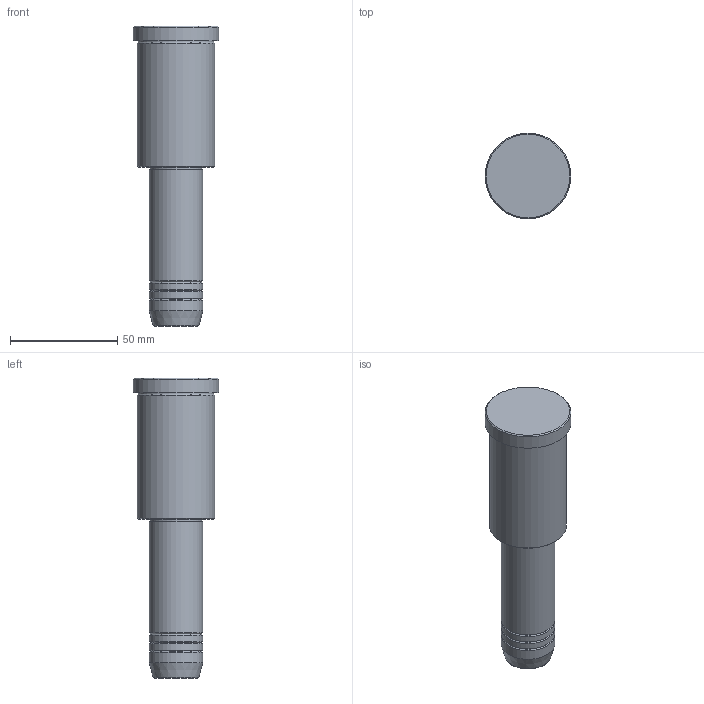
import math

import cadquery as cq

total_length = 140.0
head_height = 7.0
body_length = 59.0
head_bottom = total_length - head_height
body_bottom = head_bottom - body_length

head_diameter = 40.0
body_diameter = 36.0
shaft_diameter = 25.0

head_chamfer = 0.5
body_chamfer = 0.5
tip_fillet = 0.5

relief_width = 1.0
relief_depth = 0.5

tip_height = 7.0
tip_angle = 15.0
tip_end_radius = shaft_diameter / 2 - tip_height * math.tan(math.radians(tip_angle))

groove_depth = 0.5
groove_width = 2 * groove_depth
groove_pitch = 4.0
groove_count = 3
first_groove_bottom = 12.0


def cylinder(diameter, bottom, top):
    """Cylinder on the Z axis between two heights."""
    return cq.Workplane("XY").workplane(offset=bottom).circle(diameter / 2).extrude(top - bottom)


def revolve_profile(points):
    """Solid of revolution about Z from a closed outline of (radius, height) points."""
    return cq.Workplane("XZ").polyline(points).close().revolve(360, (0, 0, 0), (0, 1, 0))


def make_head():
    """Flat disc with a chamfered upper rim."""
    return cylinder(head_diameter, head_bottom, total_length).faces(">Z").edges().chamfer(head_chamfer)


def head_relief():
    """Relief under the head, running out to the body surface at 45 degrees."""
    outer = body_diameter / 2
    inner = outer - relief_depth
    relief_bottom = head_bottom - relief_width
    return revolve_profile([
        (outer, relief_bottom),
        (inner, relief_bottom + relief_depth),
        (inner, head_bottom),
        (outer, head_bottom),
    ])


def make_body():
    """Thick middle section with a chamfered lower rim and a relief under the head."""
    body = cylinder(body_diameter, body_bottom, head_bottom).faces("<Z").edges().chamfer(body_chamfer)
    return body.cut(head_relief())


def body_relief():
    """Square-shouldered relief on the shaft just under the body."""
    relief_bottom = body_bottom - relief_width
    ring = cylinder(shaft_diameter, relief_bottom, body_bottom)
    core = cylinder(shaft_diameter - 2 * relief_depth, relief_bottom, body_bottom)
    return ring.cut(core)


def ring_groove(groove_bottom):
    """V-shaped ring cut into the shaft surface."""
    outer = shaft_diameter / 2
    return revolve_profile([
        (outer, groove_bottom),
        (outer - groove_depth, groove_bottom + groove_width / 2),
        (outer, groove_bottom + groove_width),
    ])


def make_shaft():
    """Slim lower section with a relief under the body and the ring grooves."""
    shaft = cylinder(shaft_diameter, tip_height, body_bottom).cut(body_relief())
    for index in range(groove_count):
        shaft = shaft.cut(ring_groove(first_groove_bottom + index * groove_pitch))
    return shaft


def make_tip():
    """Lead-in cone with a rounded end rim."""
    tip = revolve_profile([
        (0, 0),
        (tip_end_radius, 0),
        (shaft_diameter / 2, tip_height),
        (0, tip_height),
    ])
    return tip.faces("<Z").edges().fillet(tip_fillet)


result = make_head().union(make_body()).union(make_shaft()).union(make_tip())